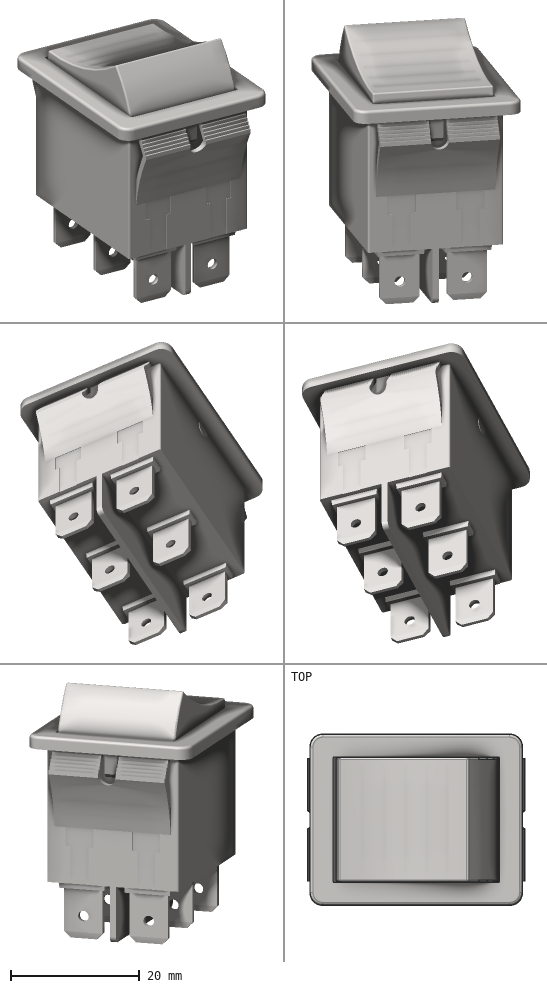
import cadquery as cq


housing_length = 27.8
housing_width = 21.58
housing_height = 21.6
housing_corner_radius = 0.3

flange_length = 33.0
flange_width = 26.6
flange_thickness = 2.05
flange_corner_radius = 2.0
flange_edge_radius = 0.47
flange_top = housing_height + flange_thickness
opening_length = 25.8
opening_width = 19.52
opening_corner_radius = 0.25

rocker_width = 19.25
rocker_edge_radius = 0.28
rocker_low_x, rocker_low_z = -12.05, 25.17
rocker_dish_x, rocker_dish_z = -1.7, 26.32
rocker_peak_x, rocker_peak_z = 8.02, 30.63
rocker_back_x, rocker_back_z = 10.28, 27.65
rocker_left_foot_x = -12.5
rocker_right_foot_x = opening_length / 2

overall_length = 33.7
clip_width = 19.0
clip_reach = overall_length / 2
clip_bend_z = 17.85
clip_inner_reach = 15.93
clip_inner_bend_z = 18.25
clip_inner_foot_z = 13.3
clip_foot_z = 8.97
clip_outer_bow_x, clip_outer_bow_z = 15.1, 13.9
clip_inner_bow_x, clip_inner_bow_z = 14.8, 15.65
clip_root_depth = 0.2
clip_step_count = 6
clip_step_width = 0.3
clip_step_top = 18.55
clip_step_rise = (housing_height - clip_step_top) / clip_step_count
clip_notch_width = 2.85
clip_notch_bottom = 16.68

lug_width = 2.15
lug_depth = 0.83
lug_bottom = 17.5
lug_chamfer = 0.6

mark_diameter = 2.6
mark_height = 0.1
mark_z = 20.35

recess_depth = 0.08
recess_wide_width = 4.6
recess_narrow_width = 2.92
recess_step_z = 6.0
recess_spacing = 10.95

terminal_length = 8.97
terminal_width = 6.3
terminal_thickness = 0.83
terminal_tip = 1.0
terminal_tip_thickness = 0.55
terminal_hole_diameter = 1.7
terminal_hole_z = -5.4
terminal_column_pitch = 11.9
terminal_row_spacing = 10.7
collar_length = 2.4
collar_width = 7.55
collar_height = 1.0
collar_draft = 5

barrier_thickness = 1.0
barrier_corner_radius = 1.0

end_face_x = housing_length / 2


def upright_block(length, width, bottom, top):
    """Box centred on X and Y that spans the given heights."""
    return cq.Workplane("XY").workplane(offset=bottom).rect(length, width).extrude(top - bottom)


def on_both_ends(solid):
    """The solid together with its mirror image across the YZ plane."""
    return solid.union(solid.mirror("YZ"))


def make_housing():
    housing = upright_block(housing_length, housing_width, 0, housing_height)
    housing = housing.edges("|Z").fillet(housing_corner_radius)
    mark = (
        cq.Workplane("XZ")
        .center(0, mark_z)
        .circle(mark_diameter / 2)
        .extrude(housing_width / 2 + mark_height, both=True)
    )
    return housing.union(mark)


def make_flange():
    flange = upright_block(flange_length, flange_width, housing_height, flange_top)
    flange = flange.edges("|Z").fillet(flange_corner_radius)
    flange = flange.faces(">Z").edges().fillet(flange_edge_radius)
    opening = upright_block(opening_length, opening_width, housing_height, flange_top)
    opening = opening.edges("|Z").fillet(opening_corner_radius)
    return flange.cut(opening)


def make_rocker():
    rocker = (
        cq.Workplane("XZ")
        .moveTo(rocker_left_foot_x, housing_height)
        .lineTo(rocker_low_x, rocker_low_z)
        .threePointArc((rocker_dish_x, rocker_dish_z), (rocker_peak_x, rocker_peak_z))
        .threePointArc((rocker_back_x, rocker_back_z), (rocker_right_foot_x, housing_height))
        .close()
        .extrude(rocker_width / 2, both=True)
    )
    return rocker.edges("not <Z").fillet(rocker_edge_radius)


def make_clip():
    """Bent spring strip on the +X end, with a stepped grip and a central notch."""
    root_x = end_face_x - clip_root_depth
    profile = (
        cq.Workplane("XZ")
        .moveTo(root_x, clip_foot_z)
        .lineTo(end_face_x, clip_foot_z)
        .threePointArc((clip_outer_bow_x, clip_outer_bow_z), (clip_reach, clip_bend_z))
        .lineTo(clip_reach, clip_step_top)
    )
    for step in range(1, clip_step_count + 1):
        riser_x = clip_reach - step * clip_step_width
        profile = profile.lineTo(riser_x, clip_step_top + (step - 1) * clip_step_rise)
        profile = profile.lineTo(riser_x, clip_step_top + step * clip_step_rise)
    clip = (
        profile.lineTo(end_face_x, housing_height)
        .lineTo(clip_inner_reach, clip_inner_bend_z)
        .threePointArc((clip_inner_bow_x, clip_inner_bow_z), (end_face_x, clip_inner_foot_z))
        .lineTo(root_x, clip_inner_foot_z)
        .close()
        .extrude(clip_width / 2, both=True)
    )
    notch_radius = clip_notch_width / 2
    notch_centre_z = clip_notch_bottom + notch_radius
    notch = (
        cq.Workplane("YZ")
        .workplane(offset=end_face_x)
        .moveTo(-notch_radius, housing_height)
        .lineTo(-notch_radius, notch_centre_z)
        .threePointArc((0, clip_notch_bottom), (notch_radius, notch_centre_z))
        .lineTo(notch_radius, housing_height)
        .close()
        .extrude(clip_reach - end_face_x)
    )
    return clip.cut(notch)


def make_lug():
    lug = upright_block(lug_depth * 2, lug_width, lug_bottom, housing_height)
    lug = lug.translate((end_face_x, 0, 0))
    return lug.faces(">X").edges("<Z").chamfer(lug_chamfer)


def make_end_recesses():
    """The two recesses of the +X end face."""
    recess = upright_block(recess_depth * 2, recess_wide_width, recess_step_z, clip_foot_z)
    recess = recess.union(upright_block(recess_depth * 2, recess_narrow_width, 0, recess_step_z))
    left = recess.translate((end_face_x, -recess_spacing / 2, 0))
    right = recess.translate((end_face_x, recess_spacing / 2, 0))
    return left.union(right)


def make_terminal():
    """Flat tab with a thinned, bevelled tip and a cross hole, below a drafted collar."""
    collar = (
        cq.Workplane("XY").rect(collar_length, collar_width).extrude(-collar_height, taper=collar_draft)
    )
    blade = (
        cq.Workplane("YZ")
        .rect(terminal_width, 2 * terminal_length)
        .extrude(terminal_thickness / 2, both=True)
        .edges("|X and <Z")
        .chamfer(terminal_tip)
    )
    half_thick = terminal_thickness / 2
    half_tip = terminal_tip_thickness / 2
    taper = (
        cq.Workplane("XZ")
        .polyline(
            [
                (-half_thick, 0),
                (-half_thick, terminal_tip - terminal_length),
                (-half_tip, -terminal_length),
                (half_tip, -terminal_length),
                (half_thick, terminal_tip - terminal_length),
                (half_thick, 0),
            ]
        )
        .close()
        .extrude(terminal_width, both=True)
    )
    hole = (
        cq.Workplane("YZ")
        .center(0, terminal_hole_z)
        .circle(terminal_hole_diameter / 2)
        .extrude(terminal_thickness, both=True)
    )
    return blade.intersect(taper).cut(hole).union(collar)


def make_barrier():
    barrier = upright_block(housing_length, barrier_thickness, -terminal_length, 0)
    return barrier.edges("|Y and <Z").fillet(barrier_corner_radius)


result = make_housing().union(make_flange()).union(make_rocker())
result = result.union(on_both_ends(make_clip().union(make_lug())))
result = result.cut(on_both_ends(make_end_recesses()))
result = result.union(make_barrier())

terminal = make_terminal()
for column in (-1, 0, 1):
    for row in (-0.5, 0.5):
        place = (column * terminal_column_pitch, row * terminal_row_spacing, 0)
        result = result.union(terminal.translate(place))